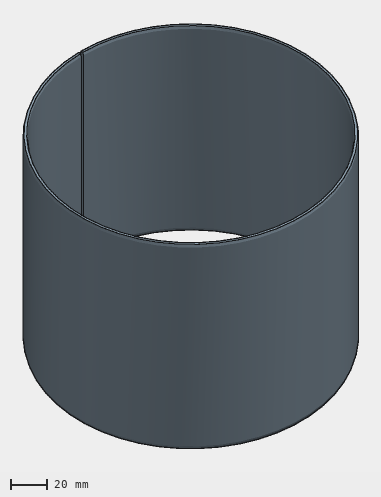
import cadquery as cq

outer_diameter = 185.0
height = 150.0
wall = 2.5
bevel_height = 2.0
bevel_depth = 0.5
sweep_angle = 359.0

outer_radius = outer_diameter / 2
inner_radius = outer_radius - wall
rim_outer_radius = outer_radius - bevel_depth
rim_inner_radius = inner_radius + bevel_depth

wall_section = (
    cq.Workplane("XZ")
    .moveTo(-rim_inner_radius, 0)
    .lineTo(-rim_outer_radius, 0)
    .lineTo(-outer_radius, bevel_height)
    .lineTo(-outer_radius, height - bevel_height)
    .lineTo(-rim_outer_radius, height)
    .lineTo(-rim_inner_radius, height)
    .lineTo(-inner_radius, height - bevel_height)
    .lineTo(-inner_radius, bevel_height)
    .close()
)

axis_start = (0, 0, 0)
axis_end = (0, 1, 0)
result = wall_section.revolve(sweep_angle, axis_start, axis_end)